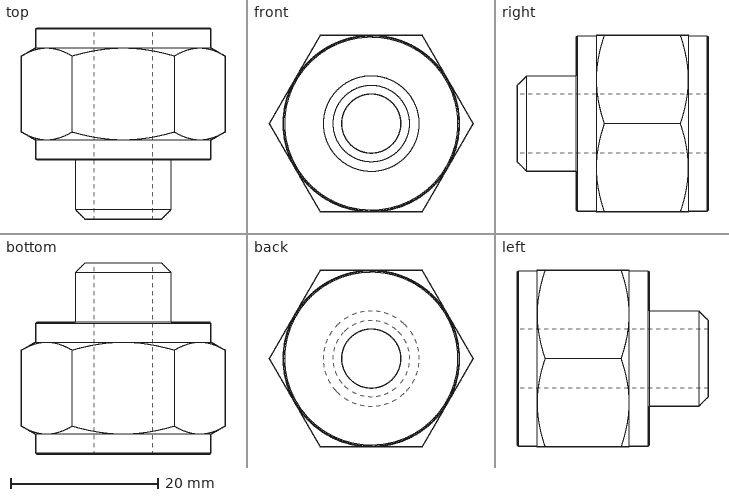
import cadquery as cq
import math

across_corners = 27.7
across_flats = across_corners * math.cos(math.radians(30))
corner_chamfer_angle = 30.0

collar_length = 2.75
hex_length = 12.47
spigot_length = 8.04
body_length = hex_length + 2 * collar_length

collar_diameter = 23.83
collar_chamfer = 0.17
spigot_diameter = 13.0
spigot_chamfer = 1.3
bore_diameter = 8.0


def cylinder(diameter, start, length):
    """Solid cylinder about Y, starting at Y = start and running toward +Y."""
    plane = cq.Workplane("XZ", origin=(0, start, 0))
    return plane.circle(diameter / 2).extrude(-length)


def chamfered_hexagon():
    """Hexagonal prism whose corners are turned down to a cone at both ends."""
    start = spigot_length + collar_length
    end = start + hex_length
    corner_radius = across_corners / 2
    flat_radius = across_flats / 2
    cone_length = (corner_radius - flat_radius) * math.tan(math.radians(corner_chamfer_angle))
    prism = (
        cq.Workplane("XZ", origin=(0, start, 0))
        .polygon(6, across_corners)
        .extrude(-hex_length)
    )
    turned_envelope = (
        cq.Workplane("XY")
        .moveTo(0, start)
        .lineTo(flat_radius, start)
        .lineTo(corner_radius, start + cone_length)
        .lineTo(corner_radius, end - cone_length)
        .lineTo(flat_radius, end)
        .lineTo(0, end)
        .close()
        .revolve(360, (0, 0, 0), (0, 1, 0))
    )
    return prism.intersect(turned_envelope)


collars = cylinder(collar_diameter, spigot_length, body_length).faces("<Y or >Y").chamfer(collar_chamfer)

spigot = cylinder(spigot_diameter, 0, spigot_length).faces("<Y").chamfer(spigot_chamfer)

bore = cylinder(bore_diameter, 0, spigot_length + body_length)

result = chamfered_hexagon().union(collars).union(spigot).cut(bore)